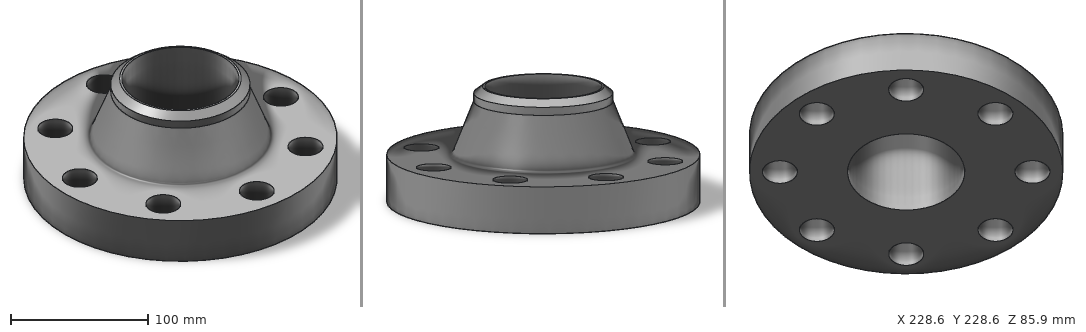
import cadquery as cq
import math

flange_diameter = 228.6
flange_thickness = 35.05
overall_height = 85.85

bolt_count = 8
bolt_circle_diameter = 184.15
bolt_hole_diameter = 25.4

pipe_diameter = 101.6
pipe_wall = 8.08
hub_base_diameter = 133.35
hub_fillet_radius = 3.0
neck_length = 11.0
weld_root_face = 1.6
bevel_angle = 37.5

pipe_radius = pipe_diameter / 2
bore_diameter = pipe_diameter - 2 * pipe_wall
bevel_width = pipe_wall - weld_root_face
bevel_height = bevel_width * math.tan(math.radians(bevel_angle))


def flange_plate():
    return cq.Workplane("XY").circle(flange_diameter / 2).extrude(flange_thickness)


def welding_neck():
    """Tapered hub, straight pipe land and bevelled weld end, revolved about Z."""
    return (
        cq.Workplane("XZ")
        .moveTo(0, flange_thickness)
        .lineTo(hub_base_diameter / 2, flange_thickness)
        .lineTo(pipe_radius, overall_height - neck_length)
        .lineTo(pipe_radius, overall_height - bevel_height)
        .lineTo(pipe_radius - bevel_width, overall_height)
        .lineTo(0, overall_height)
        .close()
        .revolve(360, (0, 0, 0), (0, 1, 0))
    )


def fillet_hub_base(body):
    """Round the concave corner where the hub meets the flange face."""
    reach = hub_base_diameter / 2 + hub_fillet_radius
    base_edge = cq.selectors.BoxSelector(
        (-reach, -reach, flange_thickness - hub_fillet_radius),
        (reach, reach, flange_thickness + hub_fillet_radius),
        boundingbox=True,
    )
    return body.edges(base_edge).fillet(hub_fillet_radius)


def bore():
    return cq.Workplane("XY").circle(bore_diameter / 2).extrude(overall_height)


def bolt_holes():
    return (
        cq.Workplane("XY")
        .polarArray(bolt_circle_diameter / 2, 0, 360, bolt_count)
        .circle(bolt_hole_diameter / 2)
        .extrude(flange_thickness)
    )


body = fillet_hub_base(flange_plate().union(welding_neck()))
result = body.cut(bore()).cut(bolt_holes())